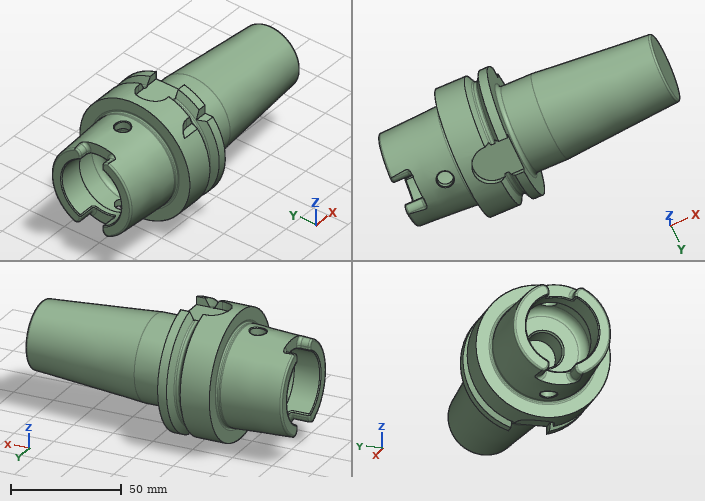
import math

import cadquery as cq


SHANK_LENGTH = 32.0
TAPER_END_RADIUS = 24.2
TAPER_RATIO = 1 / 10
SHANK_END_ROUND = 0.9

UNDERCUT_LENGTH = 2.0
UNDERCUT_RAMP_LENGTH = 0.8
UNDERCUT_DEPTH = 0.2
UNDERCUT_FILLET = 0.6
UNDERCUT_FACE_RADIUS = 25.4

MOUTH_RADIUS = 17.0
MOUTH_CHAMFER = 0.5
MOUTH_DEPTH = 13.2
CAVITY_RADIUS = 20.0
CAVITY_FLOOR_X = -2.0
CAVITY_FLOOR_FILLET = 4.1
TUBE_HOLE_RADIUS = 8.5
TUBE_HOLE_CHAMFER = 0.8
TUBE_HOLE_DEPTH = 12.0

FLANGE_RADIUS = 31.5
FLANGE_WIDTH = 26.0
GROOVE_X = 18.1
GROOVE_MOUTH_WIDTH = 6.9
GROOVE_FLOOR_RADIUS = 27.55
GROOVE_HALF_ANGLE = math.radians(30)
GROOVE_FILLET = 0.8

NOSE_RADIUS = 21.0
NOSE_ROOT_FILLET = 2.0
NOSE_TAPER_X = 43.0
NOSE_TIP_X = 100.0
NOSE_TIP_RADIUS = 16.5
NOSE_TIP_ROUND = 1.0

NOTCH_HALF_WIDTH = 6.2
NOTCH_SHELF_HEIGHT = 20.6
NOTCH_FLARE_RADIUS = 3.0
NOTCH_FLOOR_FILLET = 1.5
NOTCH_MOUTH_ROUND = 0.9
TOP_NOTCH_DEPTH = 6.0
BOTTOM_NOTCH_DEPTH = 10.0

ACCESS_HOLE_X = -9.0
ACCESS_HOLE_RADIUS = 3.75
ACCESS_HOLE_CHAMFER = 0.4

SLOT_FLOOR_HEIGHT = 26.5
TOP_SLOT_RADIUS = 8.0
BOTTOM_SLOT_RADIUS = 9.0
SLOT_START_X = 5.0

ORIENT_OFFSET = 19.9
ORIENT_CUTTER_RADIUS = 8.0
ORIENT_CENTER_X = 12.5

CLEARANCE = 5.0
TOLERANCE = 1e-3


def make_body():
    """Turned outer shape with the fillets that belong to the profile."""
    taper_length = SHANK_LENGTH - UNDERCUT_LENGTH
    shank_end_radius = TAPER_END_RADIUS - taper_length * TAPER_RATIO / 2
    undercut_radius = TAPER_END_RADIUS - UNDERCUT_DEPTH
    undercut_fillet_end = (UNDERCUT_DEPTH, undercut_radius + UNDERCUT_FILLET)
    mouth_half = GROOVE_MOUTH_WIDTH / 2
    groove_depth = FLANGE_RADIUS - GROOVE_FLOOR_RADIUS
    floor_half = mouth_half - groove_depth * math.tan(GROOVE_HALF_ANGLE)
    profile = (
        cq.Workplane("XY")
        .moveTo(-SHANK_LENGTH, 0)
        .lineTo(-SHANK_LENGTH, shank_end_radius)
        .lineTo(-UNDERCUT_LENGTH, TAPER_END_RADIUS)
        .lineTo(UNDERCUT_RAMP_LENGTH - UNDERCUT_LENGTH, undercut_radius)
        .lineTo(UNDERCUT_DEPTH - UNDERCUT_FILLET, undercut_radius)
        .radiusArc(undercut_fillet_end, -UNDERCUT_FILLET)
        .lineTo(0, UNDERCUT_FACE_RADIUS)
        .lineTo(0, FLANGE_RADIUS)
        .lineTo(GROOVE_X - mouth_half, FLANGE_RADIUS)
        .lineTo(GROOVE_X - floor_half, GROOVE_FLOOR_RADIUS)
        .lineTo(GROOVE_X + floor_half, GROOVE_FLOOR_RADIUS)
        .lineTo(GROOVE_X + mouth_half, FLANGE_RADIUS)
        .lineTo(FLANGE_WIDTH, FLANGE_RADIUS)
        .lineTo(FLANGE_WIDTH, NOSE_RADIUS)
        .lineTo(NOSE_TAPER_X, NOSE_RADIUS)
        .lineTo(NOSE_TIP_X, NOSE_TIP_RADIUS)
        .lineTo(NOSE_TIP_X, 0)
        .close()
    )
    body = profile.revolve(360, (0, 0, 0), (1, 0, 0))
    groove_floor = ring_edges(body, GROOVE_X - floor_half, GROOVE_FLOOR_RADIUS)
    groove_floor += ring_edges(body, GROOVE_X + floor_half, GROOVE_FLOOR_RADIUS)
    body = body.newObject(groove_floor).fillet(GROOVE_FILLET)
    body = body.newObject(ring_edges(body, -SHANK_LENGTH, shank_end_radius)).fillet(SHANK_END_ROUND)
    body = body.newObject(ring_edges(body, FLANGE_WIDTH, NOSE_RADIUS)).fillet(NOSE_ROOT_FILLET)
    return body.newObject(ring_edges(body, NOSE_TIP_X, NOSE_TIP_RADIUS)).fillet(NOSE_TIP_ROUND)


def ring_edges(body, x, radius):
    """Circular edges around the axis at the given x and radius."""
    rings = []
    for edge in body.edges("%CIRCLE").vals():
        at_x = abs(edge.Center().x - x) < TOLERANCE
        if at_x and abs(edge.radius() - radius) < TOLERANCE:
            rings.append(edge)
    return rings


def make_cavity():
    """Stepped blind bore of the shank, with the coolant tube hole in its floor."""
    mouth_x = -SHANK_LENGTH
    step_x = mouth_x + MOUTH_DEPTH
    hole_end_x = CAVITY_FLOOR_X + TUBE_HOLE_DEPTH
    floor_flat_radius = CAVITY_RADIUS - CAVITY_FLOOR_FILLET
    return (
        cq.Workplane("XY")
        .moveTo(mouth_x, 0)
        .lineTo(mouth_x, MOUTH_RADIUS)
        .lineTo(step_x, MOUTH_RADIUS)
        .lineTo(step_x, CAVITY_RADIUS)
        .lineTo(CAVITY_FLOOR_X - CAVITY_FLOOR_FILLET, CAVITY_RADIUS)
        .radiusArc((CAVITY_FLOOR_X, floor_flat_radius), CAVITY_FLOOR_FILLET)
        .lineTo(CAVITY_FLOOR_X, TUBE_HOLE_RADIUS + TUBE_HOLE_CHAMFER)
        .lineTo(CAVITY_FLOOR_X + TUBE_HOLE_CHAMFER, TUBE_HOLE_RADIUS)
        .lineTo(hole_end_x, TUBE_HOLE_RADIUS)
        .lineTo(hole_end_x, 0)
        .close()
        .revolve(360, (0, 0, 0), (1, 0, 0))
    )


def make_notch(depth):
    """Cutter for a drive notch on the +Z side: straight walls that flare out to a flat shelf.

    A slab in front of the shank end carries the rounding of the notch mouth.
    """
    flare_start = NOTCH_SHELF_HEIGHT - NOTCH_FLARE_RADIUS
    flare_half_width = NOTCH_HALF_WIDTH + NOTCH_FLARE_RADIUS
    side = flare_half_width + CLEARANCE
    top = FLANGE_RADIUS
    slot = (
        cq.Workplane("YZ", origin=(-SHANK_LENGTH, 0, 0))
        .moveTo(-NOTCH_HALF_WIDTH, 0)
        .lineTo(NOTCH_HALF_WIDTH, 0)
        .lineTo(NOTCH_HALF_WIDTH, flare_start)
        .radiusArc((flare_half_width, NOTCH_SHELF_HEIGHT), NOTCH_FLARE_RADIUS)
        .lineTo(side, NOTCH_SHELF_HEIGHT)
        .lineTo(side, top)
        .lineTo(-side, top)
        .lineTo(-side, NOTCH_SHELF_HEIGHT)
        .lineTo(-flare_half_width, NOTCH_SHELF_HEIGHT)
        .radiusArc((-NOTCH_HALF_WIDTH, flare_start), NOTCH_FLARE_RADIUS)
        .close()
        .extrude(depth)
    )
    slab = cq.Workplane("YZ", origin=(-SHANK_LENGTH - CLEARANCE, 0, 0)).rect(2 * side, 2 * top)
    cutter = slot.union(slab.extrude(CLEARANCE))
    mouth_edges = notch_wall_edges(cutter, -SHANK_LENGTH)
    cutter = cutter.newObject(mouth_edges).fillet(NOTCH_MOUTH_ROUND)
    floor_edges = notch_wall_edges(cutter, depth - SHANK_LENGTH)
    return cutter.newObject(floor_edges).fillet(NOTCH_FLOOR_FILLET)


def notch_wall_edges(cutter, x):
    """Edges of a notch cutter at the given x that run along its walls, flares and shelf."""
    edges = []
    for edge in cutter.edges("#X").vals():
        middle = edge.positionAt(0.5)
        at_x = abs(middle.x - x) < TOLERANCE
        if at_x and TOLERANCE < middle.z < NOTCH_SHELF_HEIGHT + TOLERANCE:
            edges.append(edge)
    return edges


def make_access_hole():
    """Radial hole through both shank walls."""
    return (
        cq.Workplane("XY", origin=(ACCESS_HOLE_X, 0, -FLANGE_RADIUS))
        .circle(ACCESS_HOLE_RADIUS)
        .extrude(2 * FLANGE_RADIUS)
    )


def chamfer_mouth_rim(body):
    """Chamfer the rim of the cavity mouth where it runs over the end faces and through the notches."""
    step_x = MOUTH_DEPTH - SHANK_LENGTH
    rim = []
    for edge in body.edges().vals():
        points = [edge.positionAt(t) for t in (0.1, 0.5, 0.9)]
        on_bore = all(abs(math.hypot(p.y, p.z) - MOUTH_RADIUS) < TOLERANCE for p in points)
        if on_bore and points[1].x < step_x - TOLERANCE:
            rim.append(edge)
    return body.newObject(rim).chamfer(MOUTH_CHAMFER)


def chamfer_access_hole(body):
    """Chamfer both outer ends of the radial access hole."""
    wall_middle_radius = (CAVITY_RADIUS + TAPER_END_RADIUS) / 2
    rims = []
    for edge in body.edges().vals():
        box = edge.BoundingBox()
        at_hole = abs(box.center.x - ACCESS_HOLE_X) < TOLERANCE
        hole_wide = abs(box.xlen - 2 * ACCESS_HOLE_RADIUS) < TOLERANCE
        middle = edge.positionAt(0.5)
        if at_hole and hole_wide and math.hypot(middle.y, middle.z) > wall_middle_radius:
            rims.append(edge)
    return body.newObject(rims).chamfer(ACCESS_HOLE_CHAMFER)


def make_slot(radius):
    """Cutter for a flat-floored slot on the +Z side, round at one end and open at the other."""
    center_x = SLOT_START_X + radius
    end_x = FLANGE_WIDTH
    return (
        cq.Workplane("XY", origin=(0, 0, SLOT_FLOOR_HEIGHT))
        .moveTo(end_x, -radius)
        .lineTo(center_x, -radius)
        .threePointArc((SLOT_START_X, 0), (center_x, radius))
        .lineTo(end_x, radius)
        .close()
        .extrude(FLANGE_RADIUS)
    )


def make_orientation_notch():
    """Cutter for the corner notch on the -Y+Z side of the flange."""
    center_y = -ORIENT_OFFSET - ORIENT_CUTTER_RADIUS
    outer_y = -FLANGE_RADIUS - CLEARANCE
    start_x = ORIENT_CENTER_X - ORIENT_CUTTER_RADIUS
    return (
        cq.Workplane("XY", origin=(0, 0, ORIENT_OFFSET))
        .moveTo(FLANGE_WIDTH, -ORIENT_OFFSET)
        .lineTo(ORIENT_CENTER_X, -ORIENT_OFFSET)
        .radiusArc((start_x, center_y), -ORIENT_CUTTER_RADIUS)
        .lineTo(start_x, outer_y)
        .lineTo(FLANGE_WIDTH, outer_y)
        .close()
        .extrude(FLANGE_RADIUS)
    )


def to_bottom(cutter):
    """Turn a +Z side cutter round the axis to the -Z side."""
    return cutter.rotate((0, 0, 0), (1, 0, 0), 180)


body = make_body().cut(make_cavity())
body = body.cut(make_notch(TOP_NOTCH_DEPTH)).cut(to_bottom(make_notch(BOTTOM_NOTCH_DEPTH)))

body = chamfer_mouth_rim(body)
body = chamfer_access_hole(body.cut(make_access_hole()))
body = body.cut(make_slot(TOP_SLOT_RADIUS)).cut(to_bottom(make_slot(BOTTOM_SLOT_RADIUS)))
result = body.cut(make_orientation_notch())